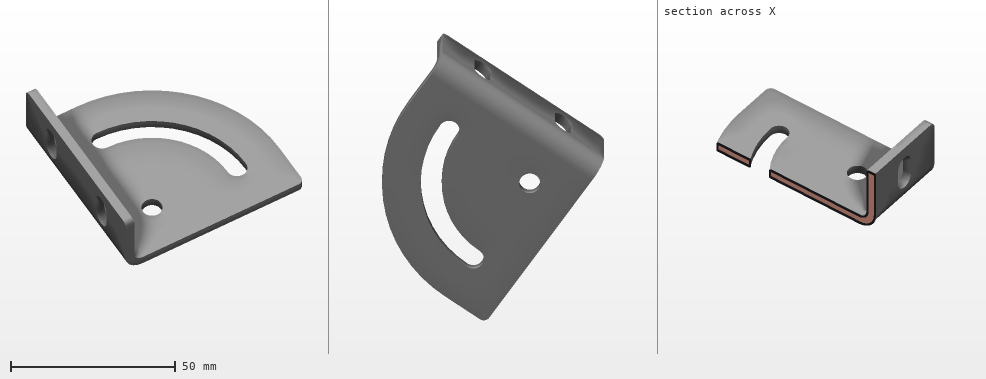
import cadquery as cq
import math

width = 60.0
depth = 63.0
height = 23.0
thickness = 3.0
inner_bend_radius = 3.0
outer_bend_radius = inner_bend_radius + thickness
corner_radius = 2.0

opening_width = 6.4
plate_arc_radius = 45.0
pivot_x = plate_arc_radius
pivot_y = depth - plate_arc_radius
arc_slot_radius = 30.0

flange_slot_spacing = 30.0
flange_slot_length = 12.0
flange_slot_z = 13.0

cos_45 = math.sqrt(0.5)


def bent_sheet():
    """L-shaped sheet profile with a rounded bend, extruded along X."""
    return (
        cq.Workplane("YZ")
        .moveTo(depth, 0)
        .lineTo(outer_bend_radius, 0)
        .radiusArc((0, outer_bend_radius), outer_bend_radius)
        .lineTo(0, height)
        .lineTo(thickness, height)
        .lineTo(thickness, outer_bend_radius)
        .radiusArc((outer_bend_radius, thickness), -inner_bend_radius)
        .lineTo(depth, thickness)
        .close()
        .extrude(width)
    )


def plate_outline():
    """Plan outline: quarter-round edge at -X +Y, small round at +X +Y."""
    arc_mid_offset = plate_arc_radius * cos_45
    return (
        cq.Workplane("XY")
        .moveTo(0, 0)
        .lineTo(width, 0)
        .lineTo(width, depth - corner_radius)
        .radiusArc((width - corner_radius, depth), -corner_radius)
        .lineTo(pivot_x, depth)
        .threePointArc((pivot_x - arc_mid_offset, pivot_y + arc_mid_offset), (0, pivot_y))
        .close()
        .extrude(height)
    )


def arc_slot():
    """Quarter-turn slot about the pivot, with full-round ends."""
    end_radius = opening_width / 2
    outer = arc_slot_radius + end_radius
    inner = arc_slot_radius - end_radius
    return (
        cq.Workplane("XY", origin=(pivot_x, pivot_y, 0))
        .moveTo(-outer, 0)
        .threePointArc((-outer * cos_45, outer * cos_45), (0, outer))
        .threePointArc((end_radius, arc_slot_radius), (0, inner))
        .threePointArc((-inner * cos_45, inner * cos_45), (-inner, 0))
        .threePointArc((-arc_slot_radius, -end_radius), (-outer, 0))
        .close()
        .extrude(thickness)
    )


def pivot_hole():
    """Round hole at the centre of the plate's arcs."""
    return (
        cq.Workplane("XY", origin=(pivot_x, pivot_y, 0))
        .circle(opening_width / 2)
        .extrude(thickness)
    )


def flange_slots():
    """Pair of upright slots, centred across the width of the flange."""
    return (
        cq.Workplane("XZ", origin=(width / 2, 0, flange_slot_z))
        .rarray(flange_slot_spacing, 1, 2, 1)
        .slot2D(flange_slot_length, opening_width, 90)
        .extrude(-thickness)
    )


bracket = bent_sheet().faces(">Z").edges("|Y").fillet(corner_radius)
bracket = bracket.intersect(plate_outline())
result = bracket.cut(arc_slot()).cut(pivot_hole()).cut(flange_slots())